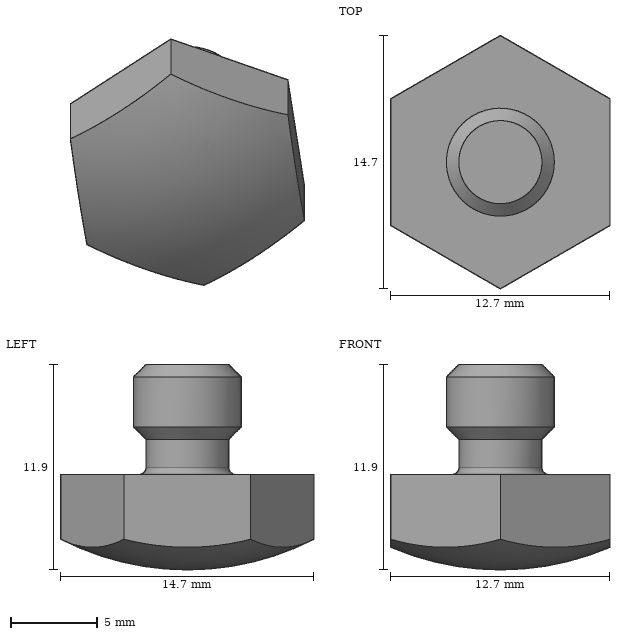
import cadquery as cq

head_across_corners = 14.66
head_top = 5.53
dome_radius = 16.0

total_height = 11.89
stud_radius = 3.12
neck_radius = 2.4
stud_lower_edge = 8.27
neck_fillet = 0.4

bevel = stud_radius - neck_radius


def make_head():
    """Hexagon with corners on the Y axis, its underside trimmed by a sphere touching Z = 0."""
    hexagon = (
        cq.Workplane("XY")
        .polygon(6, head_across_corners)
        .extrude(head_top)
        .rotate((0, 0, 0), (0, 0, 1), 90)
    )
    dome = cq.Workplane("XY").sphere(dome_radius).translate((0, 0, dome_radius))
    return hexagon.intersect(dome)


def make_stud():
    """Revolved stud, starting with the concave fillet where the neck meets the head."""
    fillet_top = head_top + neck_fillet
    return (
        cq.Workplane("XZ")
        .moveTo(0, head_top)
        .lineTo(neck_radius + neck_fillet, head_top)
        .radiusArc((neck_radius, fillet_top), neck_fillet)
        .lineTo(neck_radius, stud_lower_edge - bevel)
        .lineTo(stud_radius, stud_lower_edge)
        .lineTo(stud_radius, total_height - bevel)
        .lineTo(neck_radius, total_height)
        .lineTo(0, total_height)
        .close()
        .revolve(360, (0, 0, 0), (0, 1, 0))
    )


result = make_head().union(make_stud())